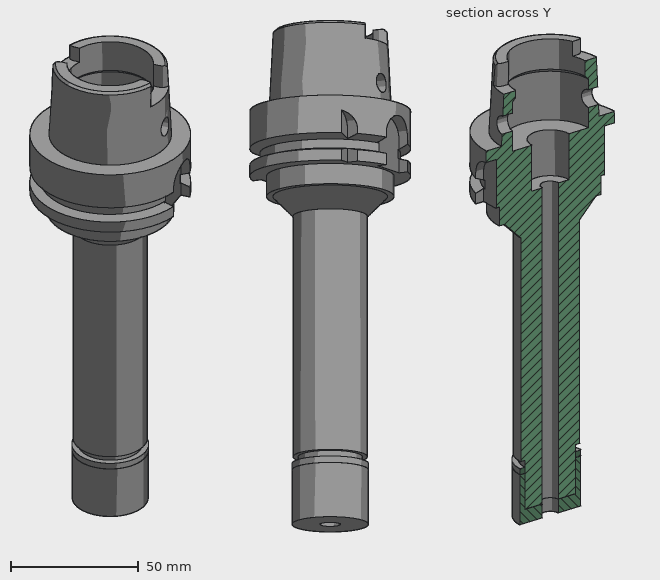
import cadquery as cq

total_height = 197.0
through_hole_radius = 4.0

nut_radius = 15.0
nut_height = 21.7
nut_end_wall = 6.0
ring_step = 0.1
ring_radius = nut_radius + ring_step
ring_height = 2.5

nose_radius = 12.6
nose_top = 27.0
shank_radius = 14.5
cone_bottom = 123.1
cone_top = 131.0
cone_top_radius = 22.5

collar_radius = 25.0
flange_radius = 31.5
flange_height = 26.0
flange_top = 165.0
flange_bottom = flange_top - flange_height
groove_radius = 27.5
groove_floor_bottom = 144.8
groove_floor_top = 148.3
groove_mouth_bottom = 143.6
groove_mouth_top = 150.1

taper_base_radius = 24.0
taper_slope = 0.05
taper_chamfer_width = 1.0
taper_chamfer_height = 1.0
mouth_radius = 17.0
mouth_depth = 13.0
undercut_radius = 18.5
cavity_floor = 161.5
thread_hole_radius = 9.0
thread_hole_bottom = 141.8

cross_hole_radius = 3.7
cross_hole_z = 174.0
drive_slot_width = 12.6
drive_slot_corner = 3.0
drive_slot_depth_left = 6.3
drive_slot_depth_right = 9.8
drive_slot_outer_reach = 21.0
arch_radius = 8.0
arch_center_z = flange_top - 13.2
arch_floor_x = 26.5
notch_floor_x = 19.9
notch_wall_y = 19.9


def revolve_profile(points):
    """Turn a closed (radius, Z) outline around the Z axis."""
    return cq.Workplane("XZ").polyline(points).close().revolve(360, (0, 0, 0), (0, 1, 0))


def holder_blank():
    taper_end_radius = taper_base_radius - taper_slope * (total_height - flange_top)
    return revolve_profile([
        (0, nut_end_wall),
        (nose_radius, nut_end_wall),
        (nose_radius, nose_top),
        (shank_radius, nose_top),
        (shank_radius, cone_bottom),
        (cone_top_radius, cone_top),
        (collar_radius, cone_top),
        (collar_radius, flange_bottom),
        (flange_radius, flange_bottom),
        (flange_radius, groove_mouth_bottom),
        (groove_radius, groove_floor_bottom),
        (groove_radius, groove_floor_top),
        (flange_radius, groove_mouth_top),
        (flange_radius, flange_top),
        (taper_base_radius, flange_top),
        (taper_end_radius, total_height - taper_chamfer_height),
        (taper_end_radius - taper_chamfer_width, total_height),
        (0, total_height),
    ])


def holder_bore():
    """Mouth, undercut cavity, counterbore and the narrow hole through the shank."""
    mouth_bottom = total_height - mouth_depth
    undercut_top = mouth_bottom - (undercut_radius - mouth_radius)
    return revolve_profile([
        (0, nut_end_wall),
        (through_hole_radius, nut_end_wall),
        (through_hole_radius, thread_hole_bottom),
        (thread_hole_radius, thread_hole_bottom),
        (thread_hole_radius, cavity_floor),
        (undercut_radius, cavity_floor),
        (undercut_radius, undercut_top),
        (mouth_radius, mouth_bottom),
        (mouth_radius, total_height),
        (0, total_height),
    ])


def drive_slot(side, depth):
    """Slot through the taper wall, with rounded corners on the outside; side is -1 or +1 in X."""
    half = drive_slot_width / 2
    round_start = drive_slot_outer_reach - drive_slot_corner
    flare = half + drive_slot_corner
    return (
        cq.Workplane("XY", origin=(0, 0, total_height - depth))
        .moveTo(0, -half)
        .lineTo(side * round_start, -half)
        .radiusArc((side * drive_slot_outer_reach, -flare), side * drive_slot_corner)
        .lineTo(side * flange_radius, -flare)
        .lineTo(side * flange_radius, flare)
        .lineTo(side * drive_slot_outer_reach, flare)
        .radiusArc((side * round_start, half), side * drive_slot_corner)
        .lineTo(0, half)
        .close()
        .extrude(depth)
    )


def arched_cut(side, floor_x, center_y):
    """Round-topped cut into the flange, open at the flange underside; side is -1 or +1 in X."""
    return (
        cq.Workplane("YZ", origin=(side * floor_x, 0, 0))
        .moveTo(center_y - arch_radius, flange_bottom)
        .lineTo(center_y - arch_radius, arch_center_z)
        .threePointArc((center_y, arch_center_z + arch_radius), (center_y + arch_radius, arch_center_z))
        .lineTo(center_y + arch_radius, flange_bottom)
        .close()
        .extrude(side * flange_radius)
    )


def make_holder():
    cross_hole = (
        cq.Workplane("YZ")
        .center(0, cross_hole_z)
        .circle(cross_hole_radius)
        .extrude(flange_radius, both=True)
    )
    holder = holder_blank().cut(holder_bore()).cut(cross_hole)
    for side, depth in ((-1, drive_slot_depth_left), (1, drive_slot_depth_right)):
        holder = holder.cut(drive_slot(side, depth))
        holder = holder.cut(arched_cut(side, arch_floor_x, 0))
    return holder.cut(arched_cut(-1, notch_floor_x, notch_wall_y + arch_radius))


def make_nut():
    """Cup that takes the holder nose, with the through hole in its end wall."""
    return revolve_profile([
        (through_hole_radius, 0),
        (nut_radius, 0),
        (nut_radius, nut_height),
        (nose_radius, nut_height),
        (nose_radius, nut_end_wall),
        (through_hole_radius, nut_end_wall),
    ])


def make_ring():
    """Narrow ring around the holder nose, resting on the nut."""
    return (
        cq.Workplane("XY", origin=(0, 0, nut_height))
        .circle(ring_radius)
        .circle(nose_radius)
        .extrude(ring_height)
    )


holder = make_holder()
nut = make_nut()
ring = make_ring()

result = cq.Compound.makeCompound([holder.val(), nut.val(), ring.val()])